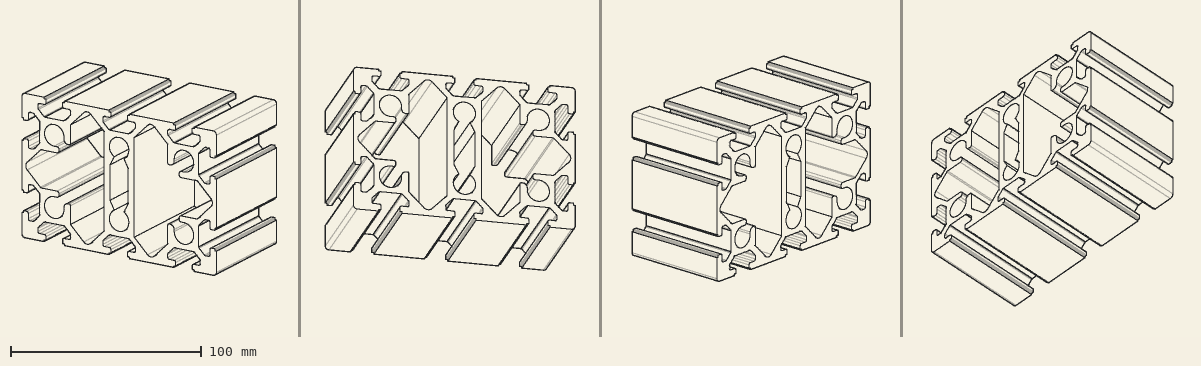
import cadquery as cq
import math

width = 120.0
height = 80.0
length = 60.0
outer_corner_radius = 2.0

grid_pitch = 40.0
bore_radius = 6.0
bore_x = grid_pitch
bore_z = grid_pitch / 2

slot_step_half_width = 6.3
slot_step_depth = 0.9
slot_mouth_half_width = 5.1
slot_lip_depth = 4.0
slot_cavity_half_width = 10.0
slot_wall_depth = 7.1
slot_ledge_depth = 10.8
slot_floor_half_width = 5.8
slot_floor_depth = 11.0
slot_step_radius = 0.3
slot_step_root_radius = 0.3
slot_lip_radius = 1.0
slot_cavity_radius = 1.0
slot_ledge_radius = 0.5

box_half_width = 9.35
fin_outer_x = 30.0
fin_end_z = 16.4
shelf_z = 10.6
shelf_end_x = 37.1
top_apex_depth = 2.1
side_apex_depth = 1.2
apex_radius = 3.0
shelf_root_radius = 1.0
fin_inner_radius = 2.5
fin_outer_radius = 0.8
shelf_tip_radius = 1.2

neck_half_width = 3.0
neck_z = 14.8
channel_half_width = 5.6
channel_half_height = 9.8


def rounded_prism(corners):
    """Extrude a closed outline of (x, z, radius) corners along the full length."""
    outline = None
    count = len(corners)
    for i in range(count):
        x, z, radius = corners[i]
        corner = cq.Vector(x, z)
        before = cq.Vector(*corners[i - 1][:2]) - corner
        after = cq.Vector(*corners[(i + 1) % count][:2]) - corner
        half_angle = before.getAngle(after) / 2
        setback = radius / math.tan(half_angle)
        start = corner + before.normalized() * setback
        if outline is None:
            outline = cq.Workplane("XZ").moveTo(start.x, start.y)
        else:
            outline = outline.lineTo(start.x, start.y)
        if radius > 0:
            end = corner + after.normalized() * setback
            bisector = (before.normalized() + after.normalized()).normalized()
            middle = corner + bisector * (radius / math.sin(half_angle) - radius)
            outline = outline.threePointArc((middle.x, middle.y), (end.x, end.y))
    return outline.close().extrude(length / 2, both=True)


def slot(face_distance, offset, side_angle):
    """T-slot cutter opening upwards at a face, then turned about Y to its side."""
    half = [
        (slot_step_half_width, 0, 0),
        (slot_step_half_width, slot_step_depth, slot_step_root_radius),
        (slot_mouth_half_width, slot_step_depth, slot_step_radius),
        (slot_mouth_half_width, slot_lip_depth, slot_lip_radius),
        (slot_cavity_half_width, slot_lip_depth, slot_cavity_radius),
        (slot_cavity_half_width, slot_wall_depth, slot_cavity_radius),
        (slot_cavity_half_width + slot_wall_depth - slot_ledge_depth, slot_ledge_depth, slot_ledge_radius),
        (slot_floor_half_width, slot_ledge_depth, 0),
        (slot_floor_half_width, slot_floor_depth, 0),
    ]
    right = [(offset + u, face_distance - depth, radius) for u, depth, radius in half]
    left = [(offset - u, face_distance - depth, radius) for u, depth, radius in reversed(half)]
    return rounded_prism(right + left).rotate((0, 0, 0), (0, 1, 0), side_angle)


def bore(x, z):
    """Round bore along the full length."""
    return cq.Workplane("XZ").center(x, z).circle(bore_radius).extrude(length / 2, both=True)


def chamber():
    """Hollow on the +X side, with pointed roofs and open into the two outer bores."""
    top_apex_x = (box_half_width + fin_outer_x) / 2
    top_apex_z = height / 2 - top_apex_depth
    roof_z = top_apex_z - (fin_outer_x - top_apex_x)
    side_apex_x = width / 2 - side_apex_depth
    bore_side_x = bore_x - bore_radius
    bore_bottom_z = bore_z - bore_radius
    upper = [
        (box_half_width, roof_z, 0),
        (top_apex_x, top_apex_z, apex_radius),
        (fin_outer_x, roof_z, 0),
        (fin_outer_x, fin_end_z, fin_outer_radius),
        (bore_side_x, fin_end_z, fin_inner_radius),
        (bore_side_x, bore_z, 0),
        (bore_x, bore_z, 0),
        (bore_x, bore_bottom_z, 0),
        (shelf_end_x, bore_bottom_z, shelf_tip_radius),
        (shelf_end_x, shelf_z, shelf_tip_radius),
        (side_apex_x - shelf_z, shelf_z, shelf_root_radius),
    ]
    lower = [(x, -z, radius) for x, z, radius in reversed(upper)]
    return rounded_prism(upper + [(side_apex_x, 0, apex_radius)] + lower)


def box_channel():
    """Channel between the central bores, narrowing to a neck at each bore."""
    right = [
        (neck_half_width, bore_z, 0),
        (neck_half_width, neck_z, 0),
        (channel_half_width, channel_half_height, 0),
        (channel_half_width, -channel_half_height, 0),
        (neck_half_width, -neck_z, 0),
        (neck_half_width, -bore_z, 0),
    ]
    left = [(-x, z, radius) for x, z, radius in reversed(right)]
    return rounded_prism(right + left)


result = cq.Workplane("XY").box(width, length, height).edges("|Y").fillet(outer_corner_radius)

for angle in (0, 180):
    for slot_offset in (-grid_pitch, 0, grid_pitch):
        result = result.cut(slot(height / 2, slot_offset, angle))
for angle in (90, 270):
    for slot_offset in (-grid_pitch / 2, grid_pitch / 2):
        result = result.cut(slot(width / 2, slot_offset, angle))

for bore_column in (-bore_x, 0, bore_x):
    for bore_row in (-bore_z, bore_z):
        result = result.cut(bore(bore_column, bore_row))

right_chamber = chamber()
result = result.cut(right_chamber)
result = result.cut(right_chamber.mirror("YZ"))
result = result.cut(box_channel())